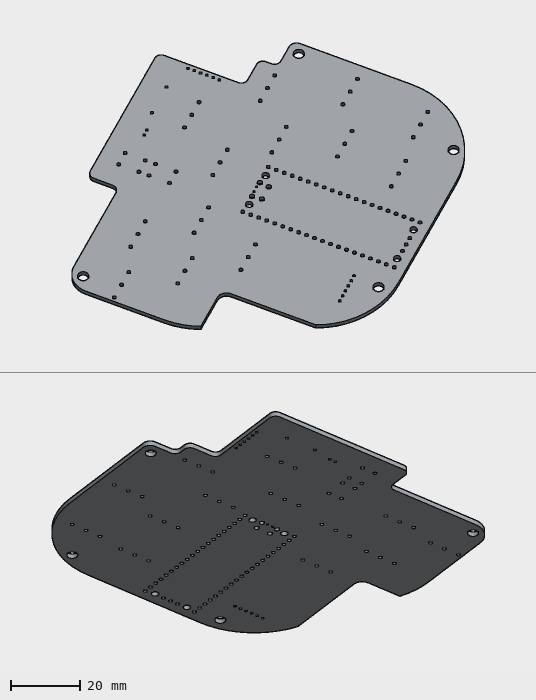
import cadquery as cq
import math

width = 97.9
length = 107.2
thickness = 1.6
right = width / 2
left = -right
top = length / 2
bottom = -top

outer_step_y = 33.3
middle_step_x = -21.2
middle_step_y = 43.5
inner_step_x = -15.3
wing_bottom_y = -15.5
tail_left_x = -38.9
tail_right_x = 3.5
shoulder_y = -37.0

sweep_radius = 26.3
tail_sweep_x = -7.2
lower_sweep_y = -13.1
step_radius = 2.0
top_left_radius = 2.5
notch_radius = 3.0
tail_corner_radius = 6.8

screw_hole = 3.2
module_mount_hole = 2.1
locating_hole = 1.5
pin_hole = 1.1
diode_hole = 0.9
fine_pin_hole = 0.8
pilot_hole = 0.6

module_pins = 20
module_row_length = 48.2
connector_pins = 6
connector_length = 10.0
key_pitch = 5.0
module_pitch = module_row_length / (module_pins - 1)
fine_pitch = connector_length / (connector_pins - 1)
jumper_pitch = 4.5
diode_pitch = 10.2

screw_places = [(-11.7, 50.1), (43.5, 37.1), (44.4, -17.0), (-35.0, -49.0)]

key_places = [
    (-30.7, 17.2), (-26.9, -28.5), (-23.6, -47.2), (-16.1, 4.9), (-14.8, 35.1),
    (-12.3, -16.3), (-9.0, -35.0), (-4.0, 19.5), (5.6, -22.8), (7.5, 43.8),
    (13.9, 26.0), (31.0, 41.5), (32.6, 22.7),
]

jumper_columns = [-42.5, -36.0, -32.8, -26.3]
jumper_y = -5.7
diode_place = (-41.5, 18.1)
top_connector_place = (-33.7, 32.0)
right_connector_place = (36.2, -21.2)
left_connector_place = (-40.2, 5.8)

module_x = 21.4
module_y = 0.3
module_row_spacing = 17.8
module_mount_spacing_x = 47.1
module_mount_spacing_y = 11.5
debug_x = 45.2
debug_pins = 3
socket_outer_x = -2.6
socket_outer_spacing = 5.5
socket_inner_x = 0.4
socket_inner_spacing = 4.8
socket_pilot_x = -2.8
socket_pilot_spacing = 1.9


def arc_middle(center_x, center_y, start, end):
    """Point halfway along a large arc between two angles."""
    angle = (start + end) / 2
    return (center_x + sweep_radius * math.cos(angle), center_y + sweep_radius * math.sin(angle))


def row(center, count, pitch):
    """Evenly spaced points along X about a centre."""
    x, y = center
    return [(x + (i - (count - 1) / 2) * pitch, y) for i in range(count)]


def column(center, count, pitch):
    """Evenly spaced points along Y about a centre."""
    x, y = center
    return [(x, y + (i - (count - 1) / 2) * pitch) for i in range(count)]


def round_corners(body, corners, radius):
    """Fillet the vertical edges that stand on the given outline corners."""
    for x, y in corners:
        body = body.edges(cq.selectors.NearestToPointSelector((x, y, 0))).fillet(radius)
    return body


def board_blank():
    sweep_x = right - sweep_radius
    upper_sweep_y = top - sweep_radius
    tail_sweep_y = bottom + sweep_radius

    shoulder_angle = math.asin((shoulder_y - lower_sweep_y) / sweep_radius)
    shoulder_x = sweep_x + sweep_radius * math.cos(shoulder_angle)
    tail_angle = -math.acos((tail_right_x - tail_sweep_x) / sweep_radius)
    tail_end_y = tail_sweep_y + sweep_radius * math.sin(tail_angle)

    outline = (
        cq.Workplane("XY", origin=(0, 0, -thickness / 2))
        .moveTo(inner_step_x, top)
        .lineTo(sweep_x, top)
        .threePointArc(arc_middle(sweep_x, upper_sweep_y, 0, math.pi / 2), (right, upper_sweep_y))
        .lineTo(right, lower_sweep_y)
        .threePointArc(arc_middle(sweep_x, lower_sweep_y, 0, shoulder_angle), (shoulder_x, shoulder_y))
        .lineTo(tail_right_x, shoulder_y)
        .lineTo(tail_right_x, tail_end_y)
        .threePointArc(
            arc_middle(tail_sweep_x, tail_sweep_y, tail_angle, -math.pi / 2), (tail_sweep_x, bottom)
        )
        .lineTo(tail_left_x, bottom)
        .lineTo(tail_left_x, wing_bottom_y)
        .lineTo(left, wing_bottom_y)
        .lineTo(left, outer_step_y)
        .lineTo(middle_step_x, outer_step_y)
        .lineTo(middle_step_x, middle_step_y)
        .lineTo(inner_step_x, middle_step_y)
        .close()
    )
    body = outline.extrude(thickness)

    step_corners = [
        (tail_left_x, wing_bottom_y), (left, wing_bottom_y), (left, outer_step_y),
        (middle_step_x, outer_step_y), (middle_step_x, middle_step_y), (inner_step_x, middle_step_y),
    ]
    body = round_corners(body, step_corners, step_radius)
    body = round_corners(body, [(inner_step_x, top)], top_left_radius)
    body = round_corners(body, [(tail_right_x, shoulder_y)], notch_radius)
    return round_corners(body, [(tail_left_x, bottom)], tail_corner_radius)


def drill(body, points, diameter):
    """Cut through holes at the given points."""
    holes = (
        cq.Workplane("XY", origin=(0, 0, -thickness / 2))
        .pushPoints(points)
        .circle(diameter / 2)
        .extrude(thickness)
    )
    return body.cut(holes)


def drill_key_holes(body):
    points = [point for place in key_places for point in column(place, 3, key_pitch)]
    return drill(body, points, pin_hole)


def drill_jumpers_and_diode(body):
    jumpers = [point for x in jumper_columns for point in column((x, jumper_y), 2, jumper_pitch)]
    body = drill(body, jumpers, pin_hole)
    return drill(body, column(diode_place, 2, diode_pitch), diode_hole)


def drill_fine_connectors(body):
    points = row(top_connector_place, connector_pins, fine_pitch)
    points += column(right_connector_place, connector_pins, fine_pitch)
    points += column(left_connector_place, 2, fine_pitch)
    return drill(body, points, fine_pin_hole)


def drill_module(body):
    pins = column((debug_x, module_y), debug_pins, module_pitch)
    mounts = []
    for side in (-1, 1):
        row_y = module_y + side * module_row_spacing / 2
        mount_x = module_x + side * module_mount_spacing_x / 2
        pins += row((module_x, row_y), module_pins, module_pitch)
        mounts += column((mount_x, module_y), 2, module_mount_spacing_y)

    locators = column((socket_outer_x, module_y), 2, socket_outer_spacing)
    locators += column((socket_inner_x, module_y), 2, socket_inner_spacing)
    pilots = column((socket_pilot_x, module_y), 2, socket_pilot_spacing)

    body = drill(body, pins, pin_hole)
    body = drill(body, mounts, module_mount_hole)
    body = drill(body, locators, locating_hole)
    return drill(body, pilots, pilot_hole)


board = board_blank()
board = drill(board, screw_places, screw_hole)
board = drill_key_holes(board)
board = drill_jumpers_and_diode(board)
board = drill_fine_connectors(board)
board = drill_module(board)

result = board